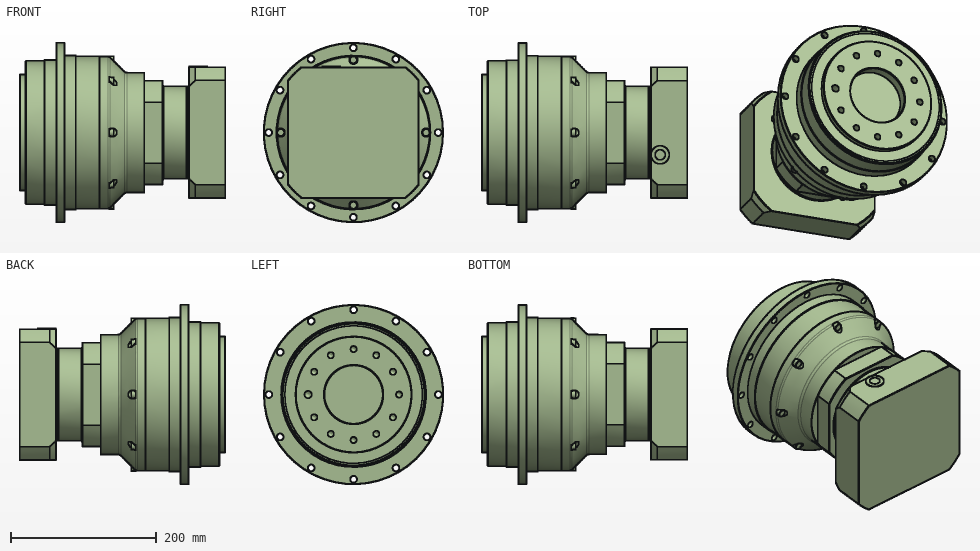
import cadquery as cq
import math


HUB_RADIUS = 80.0
HUB_LENGTH = 8.0
HUB_CHAMFER = 0.8
DISC_RADIUS = 94.5
DISC_DEPTH = 26.0
BORE_RADIUS = 40.0
BORE_DEPTH = 16.0
BORE_CHAMFER = 1.0
HUB_HOLE_COUNT = 12
HUB_HOLE_CIRCLE_RADIUS = 62.5
THREAD_HOLE_DIAMETER = 8.5
DOWEL_HOLE_DIAMETER = 10.0
HUB_HOLE_DEPTH = 18.0
DRILL_POINT_ANGLE = 118.0

NOSE_RADIUS = 98.8
NOSE_CHAMFER = 1.5
CENTRING_START_X = 34.0
CENTRING_RADIUS = 99.8
CENTRING_CHAMFER = 0.6
FLANGE_START_X = 50.4
FLANGE_END_X = 62.0
FLANGE_RADIUS = 123.5
FLANGE_CHAMFER = 0.7
COLLAR_END_X = 77.5
COLLAR_RADIUS = 106.0
COLLAR_CHAMFER = 0.5
BODY_RADIUS = 105.0
SEAM_X = 109.8
SEAM_WIDTH = 0.6
SEAM_DEPTH = 0.3
RING_RADIUS = 104.9
CONE_START_X = 123.0
CONE_START_FILLET = 4.0
CONE_END_FILLET = 5.5
REAR_RADIUS = 82.5
CONE_END_X = CONE_START_X + RING_RADIUS - REAR_RADIUS
REAR_END_X = 171.7
REAR_CHAMFER = 0.5

FLANGE_HOLE_COUNT = 12
FLANGE_HOLE_DIAMETER = 9.0
FLANGE_HOLE_CIRCLE_RADIUS = 116.5

BLOCK_END_X = 197.0
BLOCK_WIDTH = 143.0
BLOCK_CORNER_RADIUS = 82.9
BLOCK_CHAMFER = 0.8

NECK_RADIUS = 63.8
NECK_SHOULDER_RADIUS = 65.0
NECK_SHOULDER_LENGTH = 1.0
NECK_GROOVE_X = 229.3
NECK_GROOVE_WIDTH = 1.2
NECK_GROOVE_DEPTH = 0.3

PLATE_START_X = 232.5
PLATE_END_X = 283.0
PLATE_WIDTH = 180.0
PLATE_CORNER_RADIUS = 115.0
PLATE_EDGE_CHAMFER = 0.6
CORNER_CONE_LENGTH = 9.2
CORNER_CONE_FRONT_RADIUS = 110.0

CAP_X = PLATE_START_X + 13.0
CAP_Y = -30.5
CAP_DIAMETER = 25.0
CAP_HEIGHT = 0.8
CAP_CENTRE_DIAMETER = 14.0
CAP_CENTRE_HEIGHT = 0.2

SCREW_COUNT = 8
SCREW_CIRCLE_RADIUS = 99.9
SCREW_HEAD_DIAMETER = 10.4
SCREW_HEAD_LENGTH = 6.6
SCREW_HEAD_CHAMFER = 0.4
SCREW_POCKET_DIAMETER = 11.6


def cylinder(start_x, end_x, radius, y=0.0, z=0.0):
    """Cylinder along X whose axis passes through (y, z)."""
    return cq.Workplane("YZ", origin=(start_x, y, z)).circle(radius).extrude(end_x - start_x)


def turned(profile, tip=None):
    """Solid turned about X from (x, radius) points, ending in a flat face or at a tip on the axis."""
    start = (profile[0][0], 0)
    end = tip or (profile[-1][0], 0)
    outline = [start] + profile + [end]
    return cq.Workplane("XY").polyline(outline).close().revolve(360, (0, 0, 0), (1, 0, 0))


def circle_places(count, radius):
    """(y, z) places evenly spaced on a circle around X, the first one on +Y."""
    angles = [2 * math.pi * index / count for index in range(count)]
    return [(radius * math.cos(angle), radius * math.sin(angle)) for angle in angles]


def square_bar(start_x, end_x, width):
    return cq.Workplane("YZ", origin=(start_x, 0, 0)).rect(width, width).extrude(end_x - start_x)


def drilled_hole(diameter, y, z):
    """Blind hole from the hub face with a drill point at its end."""
    radius = diameter / 2
    point_length = radius / math.tan(math.radians(DRILL_POINT_ANGLE / 2))
    profile = [(0, radius), (HUB_HOLE_DEPTH, radius)]
    tip = (HUB_HOLE_DEPTH + point_length, 0)
    return turned(profile, tip).translate((0, y, z))


def make_output_flange():
    disc_end_x = HUB_LENGTH + DISC_DEPTH
    flange = turned([
        (0, HUB_RADIUS - HUB_CHAMFER),
        (HUB_CHAMFER, HUB_RADIUS),
        (HUB_LENGTH, HUB_RADIUS),
        (HUB_LENGTH, DISC_RADIUS),
        (disc_end_x, DISC_RADIUS),
    ])
    flange = flange.cut(turned([
        (0, BORE_RADIUS + BORE_CHAMFER),
        (BORE_CHAMFER, BORE_RADIUS),
        (BORE_DEPTH, BORE_RADIUS),
    ]))
    places = circle_places(HUB_HOLE_COUNT, HUB_HOLE_CIRCLE_RADIUS)
    flange = flange.cut(drilled_hole(DOWEL_HOLE_DIAMETER, *places[0]))
    for y, z in places[1:]:
        flange = flange.cut(drilled_hole(THREAD_HOLE_DIAMETER, y, z))
    return flange


def circle_at(edge_x, radius):
    """Selector box around the full circular edge at x with the given radius."""
    margin = 0.1
    reach = radius + margin
    return cq.selectors.BoxSelector(
        (edge_x - margin, -reach, -reach), (edge_x + margin, reach, reach), boundingbox=True
    )


def make_turned_housing():
    """Stretch from the nose to the rear end of the cone section."""
    body = turned([
        (HUB_LENGTH, NOSE_RADIUS - NOSE_CHAMFER),
        (HUB_LENGTH + NOSE_CHAMFER, NOSE_RADIUS),
        (CENTRING_START_X, NOSE_RADIUS),
        (CENTRING_START_X, CENTRING_RADIUS - CENTRING_CHAMFER),
        (CENTRING_START_X + CENTRING_CHAMFER, CENTRING_RADIUS),
        (FLANGE_START_X, CENTRING_RADIUS),
        (FLANGE_START_X, FLANGE_RADIUS - FLANGE_CHAMFER),
        (FLANGE_START_X + FLANGE_CHAMFER, FLANGE_RADIUS),
        (FLANGE_END_X - FLANGE_CHAMFER, FLANGE_RADIUS),
        (FLANGE_END_X, FLANGE_RADIUS - FLANGE_CHAMFER),
        (FLANGE_END_X, COLLAR_RADIUS),
        (COLLAR_END_X - COLLAR_CHAMFER, COLLAR_RADIUS),
        (COLLAR_END_X, COLLAR_RADIUS - COLLAR_CHAMFER),
        (COLLAR_END_X, BODY_RADIUS),
        (SEAM_X - SEAM_WIDTH / 2, BODY_RADIUS),
        (SEAM_X, BODY_RADIUS - SEAM_DEPTH),
        (SEAM_X + SEAM_WIDTH / 2, RING_RADIUS),
        (CONE_START_X, RING_RADIUS),
        (CONE_END_X, REAR_RADIUS),
        (REAR_END_X - REAR_CHAMFER, REAR_RADIUS),
        (REAR_END_X, REAR_RADIUS - REAR_CHAMFER),
    ])
    body = body.edges(circle_at(CONE_START_X, RING_RADIUS)).fillet(CONE_START_FILLET)
    return body.edges(circle_at(CONE_END_X, REAR_RADIUS)).fillet(CONE_END_FILLET)


def make_block():
    """Block with four flats and round corners, just outside the rear section."""
    block = square_bar(REAR_END_X, BLOCK_END_X, BLOCK_WIDTH)
    block = block.intersect(cylinder(REAR_END_X, BLOCK_END_X, BLOCK_CORNER_RADIUS))
    return block.faces(">X").edges().chamfer(BLOCK_CHAMFER)


def make_neck():
    groove_end_x = NECK_GROOVE_X + NECK_GROOVE_WIDTH
    shoulder_end_x = BLOCK_END_X + NECK_SHOULDER_LENGTH
    return turned([
        (BLOCK_END_X, NECK_SHOULDER_RADIUS),
        (shoulder_end_x, NECK_RADIUS),
        (NECK_GROOVE_X, NECK_RADIUS),
        (NECK_GROOVE_X, NECK_RADIUS - NECK_GROOVE_DEPTH),
        (groove_end_x, NECK_RADIUS - NECK_GROOVE_DEPTH),
        (groove_end_x, NECK_RADIUS),
        (PLATE_START_X, NECK_RADIUS),
    ])


def make_plate():
    """Square plate whose corners are turned round and coned at the front."""
    plate = square_bar(PLATE_START_X, PLATE_END_X, PLATE_WIDTH)
    plate = plate.intersect(turned([
        (PLATE_START_X, CORNER_CONE_FRONT_RADIUS),
        (PLATE_START_X + CORNER_CONE_LENGTH, PLATE_CORNER_RADIUS),
        (PLATE_END_X, PLATE_CORNER_RADIUS),
    ]))
    plate = plate.faces("<X or >X").edges().chamfer(PLATE_EDGE_CHAMFER)
    return plate.union(make_cap())


def make_cap():
    cap = cq.Workplane("XY", origin=(CAP_X, CAP_Y, PLATE_WIDTH / 2))
    rim = cap.circle(CAP_DIAMETER / 2).extrude(CAP_HEIGHT)
    centre = cap.circle(CAP_CENTRE_DIAMETER / 2).extrude(CAP_HEIGHT + CAP_CENTRE_HEIGHT)
    return rim.union(centre)


def add_screws(body):
    """Sink a pocket into the cone for each screw and stand its head on the pocket floor."""
    head_end_x = CONE_START_X + SCREW_HEAD_LENGTH
    for y, z in circle_places(SCREW_COUNT, SCREW_CIRCLE_RADIUS):
        body = body.cut(cylinder(CONE_START_X, CONE_END_X, SCREW_POCKET_DIAMETER / 2, y, z))
        head = cylinder(CONE_START_X, head_end_x, SCREW_HEAD_DIAMETER / 2, y, z)
        head = head.faces(">X").edges().chamfer(SCREW_HEAD_CHAMFER)
        body = body.union(head)
    return body


def make_housing():
    housing = add_screws(make_turned_housing())
    housing = housing.union(make_block()).union(make_neck()).union(make_plate())
    for y, z in circle_places(FLANGE_HOLE_COUNT, FLANGE_HOLE_CIRCLE_RADIUS):
        housing = housing.cut(cylinder(FLANGE_START_X, FLANGE_END_X, FLANGE_HOLE_DIAMETER / 2, y, z))
    return housing.cut(cylinder(HUB_LENGTH, HUB_LENGTH + DISC_DEPTH, DISC_RADIUS))


output_flange = make_output_flange()
housing = make_housing()
result = cq.Compound.makeCompound([output_flange.val(), housing.val()])